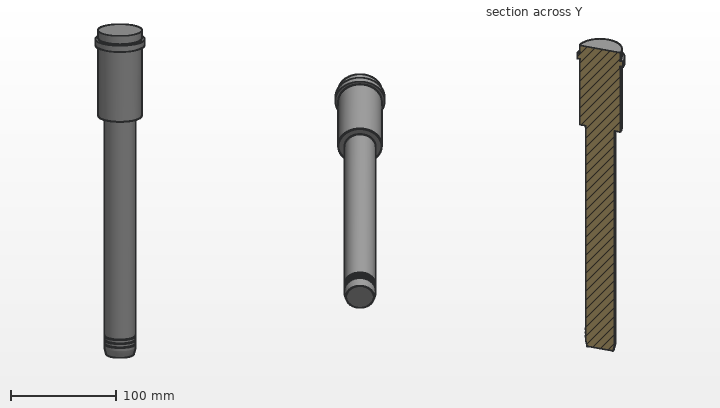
import cadquery as cq

total_length = 320.0
shaft_diameter = 30.0
head_diameter = 42.0
head_length = 85.0
head_chamfer = 0.5

collar_diameter = 47.0
collar_top_offset = 9.0
collar_height = 6.0

lead_in_height = 7.5
tip_diameter = 26.5
lead_in_bulge = 0.2
tip_chamfer = 0.3

groove_count = 3
first_groove_height = 10.2
groove_pitch = 4.0
groove_width = 1.0
groove_depth = 0.3

relief_width = 1.0
relief_depth = 0.3


def cylinder(diameter, bottom, height):
    """Solid cylinder on the Z axis, starting at the given height."""
    return cq.Workplane("XY").workplane(offset=bottom).circle(diameter / 2).extrude(height)


def make_shaft():
    """Shaft with a convex lead-in at its lower end, revolved about Z."""
    shaft_radius = shaft_diameter / 2
    tip_radius = tip_diameter / 2
    arc_middle = ((shaft_radius + tip_radius) / 2 + lead_in_bulge, lead_in_height / 2)
    return (
        cq.Workplane("XZ")
        .lineTo(tip_radius, 0)
        .threePointArc(arc_middle, (shaft_radius, lead_in_height))
        .lineTo(shaft_radius, head_bottom)
        .lineTo(0, head_bottom)
        .close()
        .revolve(360, (0, 0), (0, 1))
    )


def make_ring(diameter, depth, bottom, width):
    """Ring of material to remove from a cylinder of the given diameter."""
    outer = cylinder(diameter, bottom, width)
    core = cylinder(diameter - 2 * depth, bottom, width)
    return outer.cut(core)


def cut_foot_grooves(body):
    """Cut the evenly spaced grooves near the foot of the shaft."""
    for index in range(groove_count):
        bottom = first_groove_height + index * groove_pitch
        body = body.cut(make_ring(shaft_diameter, groove_depth, bottom, groove_width))
    return body


def cut_reliefs(body):
    """Cut the narrow reliefs above and below the collar and below the head."""
    reliefs = (
        (head_diameter, collar_bottom + collar_height),
        (head_diameter, collar_bottom - relief_width),
        (shaft_diameter, head_bottom - relief_width),
    )
    for diameter, bottom in reliefs:
        body = body.cut(make_ring(diameter, relief_depth, bottom, relief_width))
    return body


head_bottom = total_length - head_length
collar_bottom = total_length - collar_top_offset - collar_height

head = cylinder(head_diameter, head_bottom, head_length).faces("<Z").chamfer(head_chamfer)
collar = cylinder(collar_diameter, collar_bottom, collar_height)
shaft = make_shaft().faces("<Z").chamfer(tip_chamfer)

result = shaft.union(head).union(collar)
result = cut_foot_grooves(result)
result = cut_reliefs(result)